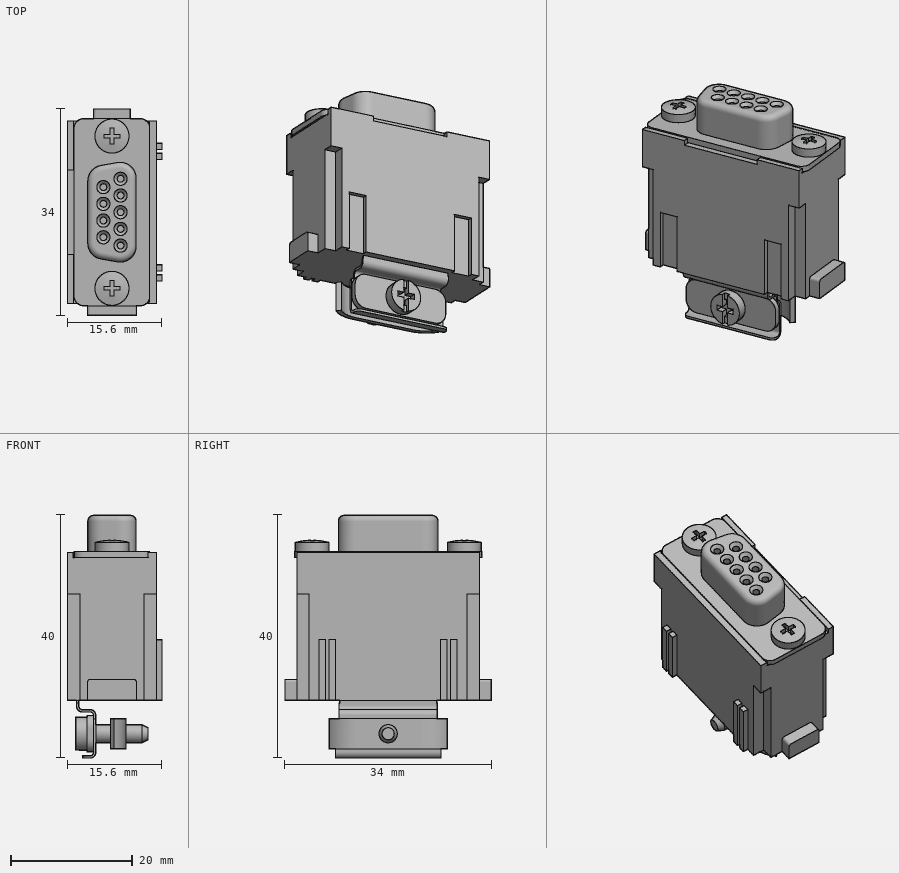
import cadquery as cq
import math


BODY_X = 14.7
BODY_Y = 30.1
BODY_Z = 24.35
CORNER_NOTCH = 2.05
CORNER_NOTCH_TOP = 17.5

CODE_HEIGHT = 10.0
CODE_CENTRE_Y = 10.0
SLOT_WIDTH = 3.2
SLOT_DEPTH = 0.9
TAB_PAIR_WIDTH = 2.72
TAB_WIDTH = 1.07
TAB_PROJECTION = 0.9

OVERALL_Y = 34.0
GRIP_HEIGHT = 3.45
GRIP_WIDTH_NEAR = 8.08
GRIP_WIDTH_FAR = 6.08
GRIP_FILLET = 0.5

PLATE_X = 12.44
PLATE_Y = 30.82
PLATE_TOP = 24.5
PLATE_THICKNESS = 1.0
PLATE_CORNER = 1.55
RECESS_CORNER = 1.05
RECESS_SIDE_GAP = 0.13
WALL_GAP_LENGTH = 13.94

SHELL_TOP = 30.47
SHELL_X = 7.98
SHELL_MEAN_HALF_Y = 8.02
SHELL_TAPER = 10.0
SHELL_CORNER = 2.65
SHELL_FILLET = 1.0

CONTACT_PITCH = 2.75
CONTACT_ROW_SPACING = 2.83
CONTACT_DIAMETER = 1.12
CONTACT_MOUTH_DIAMETER = 2.17
CONTACT_MOUTH_ANGLE = 90.0
CONTACT_DEPTH = 5.0
CONTACTS_SHORT_ROW = 4
CONTACTS_LONG_ROW = 5

PLATE_SCREW_Y = 12.53
PLATE_SCREW_DIAMETER = 5.6
PLATE_SCREW_HEIGHT = 1.5
PLATE_SCREW_DOME = 0.37
PLATE_CROSS_LENGTH = 2.6
PLATE_CROSS_WIDTH = 0.6
PLATE_CROSS_DEPTH = 1.0

SHEET = 0.41
BRACKET_TOP_X = -5.65
BRACKET_FACE_X = -2.85
BRACKET_SHELF_Z = -1.73
BRACKET_LIP_Z = -9.325
BRACKET_LIP_END_X = -4.83
BRACKET_EMBED = 1.0
UPPER_BEND = 0.8
LOWER_BEND = 0.75
BRACKET_WIDTH = 17.42
BRACKET_SHOULDER_Z = -3.05
BRACKET_UPPER_WIDTH = 16.2
BRACKET_NECK_WIDTH = 16.0
BRACKET_NECK_Z = -0.45
SHOULDER_FILLET = 0.55
LIP_CORNER = 0.9

CLAMP_Z = -5.5
CLAMP_HEAD_X = -5.97
CLAMP_HEAD_DIAMETER = 5.5
PAD_X = -4.1
PAD_Y = 17.2
PAD_Z = 6.0
PAD_CORNER = 2.0
CLAMP_SHAFT_DIAMETER = 3.0
CLAMP_TIP_X = 5.97
CLAMP_TIP_LENGTH = 1.05
CLAMP_TIP_INSET = 0.5
CLAMP_DRIVE_WIDTH = 0.9
CLAMP_SLOT_DEPTH = 0.6
CLAMP_CROSS_LENGTH = 3.1
CLAMP_CROSS_DEPTH = 1.2

BAR_BACK_X = 2.32
BAR_THICKNESS = 0.91
BAR_HEIGHT = 5.0
BAR_FLAT_HALF = 5.43
BAR_INNER_RADIUS = 4.7
BAR_CURL_ANGLE = 50.0


def box(x_range, y_range, z_range):
    """Axis-aligned box between the given limits."""
    size = [high - low for low, high in (x_range, y_range, z_range)]
    corner = (x_range[0], y_range[0], z_range[0])
    return cq.Workplane("XY").box(*size, centered=False).translate(corner)


def make_body():
    half_x = BODY_X / 2
    half_y = BODY_Y / 2
    body = box((-half_x, half_x), (-half_y, half_y), (0, BODY_Z))

    corner_notches = (
        cq.Workplane("XY")
        .rect(BODY_X, BODY_Y, forConstruction=True)
        .vertices()
        .rect(2 * CORNER_NOTCH, 2 * CORNER_NOTCH)
        .extrude(CORNER_NOTCH_TOP)
    )
    body = body.cut(corner_notches)

    for side in (-1, 1):
        centre_y = side * CODE_CENTRE_Y
        slot_y = (centre_y - SLOT_WIDTH / 2, centre_y + SLOT_WIDTH / 2)
        body = body.cut(box((-half_x, -half_x + SLOT_DEPTH), slot_y, (0, CODE_HEIGHT)))
        for tab_side in (-1, 1):
            tab_centre = centre_y + tab_side * (TAB_PAIR_WIDTH - TAB_WIDTH) / 2
            tab_y = (tab_centre - TAB_WIDTH / 2, tab_centre + TAB_WIDTH / 2)
            tab_x = (half_x - SLOT_DEPTH, half_x + TAB_PROJECTION)
            body = body.union(box(tab_x, tab_y, (0, CODE_HEIGHT)))

    body = body.union(make_grip(GRIP_WIDTH_NEAR, -OVERALL_Y / 2, 0))
    body = body.union(make_grip(GRIP_WIDTH_FAR, 0, OVERALL_Y / 2))
    return body.cut(make_plate_recess())


def make_grip(width, y_low, y_high):
    """Grip block reaching from inside the housing, with rounded upper side edges."""
    grip = box((-width / 2, width / 2), (y_low, y_high), (0, GRIP_HEIGHT))
    return grip.edges("|Y and >Z").fillet(GRIP_FILLET)


def make_plate_recess():
    """Pocket open at both ends, with a clearance and a gap through the wall on the -X side."""
    floor_z = PLATE_TOP - PLATE_THICKNESS
    rounded = (
        cq.Workplane("XY", origin=(0, 0, floor_z))
        .rect(PLATE_X, PLATE_Y)
        .extrude(PLATE_THICKNESS)
    )
    rounded = rounded.edges("|Z and >X").fillet(RECESS_CORNER)
    inner_x = -PLATE_X / 2 - RECESS_SIDE_GAP
    side_gap = box((inner_x, 0), (-PLATE_Y / 2, PLATE_Y / 2), (floor_z, PLATE_TOP))
    half_gap = WALL_GAP_LENGTH / 2
    wall_gap = box((-BODY_X / 2, 0), (-half_gap, half_gap), (floor_z, PLATE_TOP))
    return rounded.union(side_gap).union(wall_gap)


def make_plate():
    plate = (
        cq.Workplane("XY", origin=(0, 0, PLATE_TOP))
        .rect(PLATE_X, PLATE_Y)
        .extrude(-PLATE_THICKNESS)
    )
    return plate.edges("|Z").fillet(PLATE_CORNER)


def make_shell():
    half_x = SHELL_X / 2
    taper = half_x * math.tan(math.radians(SHELL_TAPER))
    long_half = SHELL_MEAN_HALF_Y + taper
    short_half = SHELL_MEAN_HALF_Y - taper
    outline = [
        (-half_x, -short_half),
        (half_x, -long_half),
        (half_x, long_half),
        (-half_x, short_half),
    ]
    base_z = PLATE_TOP - PLATE_THICKNESS
    shell = cq.Workplane("XY", origin=(0, 0, base_z)).polyline(outline).close().extrude(SHELL_TOP - base_z)
    shell = shell.edges("|Z").fillet(SHELL_CORNER)
    shell = shell.faces(">Z").edges().fillet(SHELL_FILLET)

    contacts = []
    for row_side, count in ((-1, CONTACTS_SHORT_ROW), (1, CONTACTS_LONG_ROW)):
        for index in range(count):
            y = (index - (count - 1) / 2) * CONTACT_PITCH
            contacts.append((row_side * CONTACT_ROW_SPACING / 2, y))
    return (
        shell.faces(">Z")
        .workplane(origin=(0, 0, SHELL_TOP))
        .pushPoints(contacts)
        .cskHole(CONTACT_DIAMETER, CONTACT_MOUTH_DIAMETER, CONTACT_MOUTH_ANGLE, CONTACT_DEPTH)
    )


def make_plate_screw(y):
    """Domed head with a cross recess, standing on the plate."""
    radius = PLATE_SCREW_DIAMETER / 2
    top = PLATE_SCREW_HEIGHT + PLATE_SCREW_DOME
    dome_radius = (radius**2 + PLATE_SCREW_DOME**2) / (2 * PLATE_SCREW_DOME)
    mid_x = radius / 2
    mid_z = top - dome_radius + math.sqrt(dome_radius**2 - mid_x**2)
    head = (
        cq.Workplane("XZ")
        .lineTo(radius, 0)
        .lineTo(radius, PLATE_SCREW_HEIGHT)
        .threePointArc((mid_x, mid_z), (0, top))
        .close()
        .revolve(360, (0, 0), (0, 1))
    )
    for length_x, length_y in (
        (PLATE_CROSS_LENGTH, PLATE_CROSS_WIDTH),
        (PLATE_CROSS_WIDTH, PLATE_CROSS_LENGTH),
    ):
        arm = cq.Workplane("XY", origin=(0, 0, top)).rect(length_x, length_y).extrude(-PLATE_CROSS_DEPTH)
        head = head.cut(arm)
    return head.translate((0, y, PLATE_TOP))


def make_bracket():
    path = (
        cq.Workplane("XZ")
        .moveTo(BRACKET_TOP_X, BRACKET_EMBED)
        .lineTo(BRACKET_TOP_X, BRACKET_SHELF_Z + UPPER_BEND)
        .tangentArcPoint((UPPER_BEND, -UPPER_BEND))
        .lineTo(BRACKET_FACE_X - LOWER_BEND, BRACKET_SHELF_Z)
        .tangentArcPoint((LOWER_BEND, -LOWER_BEND))
        .lineTo(BRACKET_FACE_X, BRACKET_LIP_Z + LOWER_BEND)
        .tangentArcPoint((-LOWER_BEND, -LOWER_BEND))
        .lineTo(BRACKET_LIP_END_X, BRACKET_LIP_Z)
    )
    section = cq.Workplane("XY", origin=(BRACKET_TOP_X, 0, BRACKET_EMBED)).rect(SHEET, BRACKET_WIDTH)
    bracket = section.sweep(path)

    x_span = (-BODY_X / 2, 0)
    outer = BRACKET_WIDTH / 2
    for width, low_z in (
        (BRACKET_UPPER_WIDTH, BRACKET_SHOULDER_Z),
        (BRACKET_NECK_WIDTH, BRACKET_NECK_Z),
    ):
        z_span = (low_z, BRACKET_EMBED)
        bracket = bracket.cut(box(x_span, (width / 2, outer), z_span))
        bracket = bracket.cut(box(x_span, (-outer, -width / 2), z_span))

    for side in (-1, 1):
        shoulder = cq.selectors.NearestToPointSelector((BRACKET_FACE_X, side * outer, BRACKET_SHOULDER_Z))
        bracket = bracket.edges("|X").edges(shoulder).fillet(SHOULDER_FILLET)
        lip_end = cq.selectors.NearestToPointSelector((BRACKET_LIP_END_X, side * outer, BRACKET_LIP_Z))
        bracket = bracket.edges("|Z").edges(lip_end).fillet(LIP_CORNER)
    return bracket


def make_clamp_screw():
    def cylinder(diameter, start_x, end_x):
        plane = cq.Workplane("YZ", origin=(start_x, 0, CLAMP_Z))
        return plane.circle(diameter / 2).extrude(end_x - start_x)

    def drive_cut(width_y, height_z, depth):
        plane = cq.Workplane("YZ", origin=(CLAMP_HEAD_X, 0, CLAMP_Z))
        return plane.rect(width_y, height_z).extrude(depth)

    head = cylinder(CLAMP_HEAD_DIAMETER, CLAMP_HEAD_X, PAD_X)
    head = head.cut(drive_cut(CLAMP_DRIVE_WIDTH, CLAMP_HEAD_DIAMETER, CLAMP_SLOT_DEPTH))
    head = head.cut(drive_cut(CLAMP_DRIVE_WIDTH, CLAMP_CROSS_LENGTH, CLAMP_CROSS_DEPTH))
    head = head.cut(drive_cut(CLAMP_CROSS_LENGTH, CLAMP_DRIVE_WIDTH, CLAMP_CROSS_DEPTH))

    pad = cq.Workplane("YZ", origin=(PAD_X, 0, CLAMP_Z)).rect(PAD_Y, PAD_Z).extrude(BRACKET_FACE_X - PAD_X)
    pad = pad.edges("|X").fillet(PAD_CORNER)

    shaft = cylinder(CLAMP_SHAFT_DIAMETER, PAD_X, CLAMP_TIP_X)
    shaft = shaft.faces(">X").chamfer(CLAMP_TIP_LENGTH, CLAMP_TIP_INSET)
    return head.union(pad).union(shaft)


def make_clamp_bar():
    inner_x = BAR_BACK_X - BAR_THICKNESS
    centre_x = inner_x - BAR_INNER_RADIUS
    outer_radius = BAR_INNER_RADIUS + BAR_THICKNESS

    def curl_point(radius, angle, side):
        turn = math.radians(angle)
        y = BAR_FLAT_HALF + radius * math.sin(turn)
        return (centre_x + radius * math.cos(turn), side * y)

    half_angle = BAR_CURL_ANGLE / 2
    outline = (
        cq.Workplane("XY", origin=(0, 0, CLAMP_Z - BAR_HEIGHT / 2))
        .moveTo(BAR_BACK_X, -BAR_FLAT_HALF)
        .lineTo(BAR_BACK_X, BAR_FLAT_HALF)
        .threePointArc(curl_point(outer_radius, half_angle, 1), curl_point(outer_radius, BAR_CURL_ANGLE, 1))
        .lineTo(*curl_point(BAR_INNER_RADIUS, BAR_CURL_ANGLE, 1))
        .threePointArc(curl_point(BAR_INNER_RADIUS, half_angle, 1), (inner_x, BAR_FLAT_HALF))
        .lineTo(inner_x, -BAR_FLAT_HALF)
        .threePointArc(
            curl_point(BAR_INNER_RADIUS, half_angle, -1),
            curl_point(BAR_INNER_RADIUS, BAR_CURL_ANGLE, -1),
        )
        .lineTo(*curl_point(outer_radius, BAR_CURL_ANGLE, -1))
        .threePointArc(curl_point(outer_radius, half_angle, -1), (BAR_BACK_X, -BAR_FLAT_HALF))
        .close()
    )
    return outline.extrude(BAR_HEIGHT)


result = make_body().union(make_plate()).union(make_shell())
for screw_y in (-PLATE_SCREW_Y, PLATE_SCREW_Y):
    result = result.union(make_plate_screw(screw_y))
result = result.union(make_bracket()).union(make_clamp_screw()).union(make_clamp_bar())